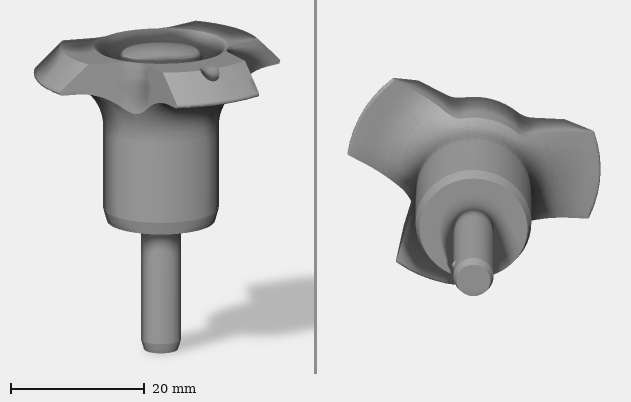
import cadquery as cq
import math

top_z = 47.0
body_bottom_z = 19.98
body_top_z = 34.6
grip_bottom_z = 42.45

pin_radius = 3.0
pin_tip_radius = 2.55
pin_taper_height = 1.55
ball_radius = 0.7
ball_protrusion = 0.3
ball_z = 4.3

body_radius = 8.65
body_taper = 0.55
body_taper_height = 1.97
flare_radius = grip_bottom_z - body_top_z

tip_diameter = 38.0
tip_radius = tip_diameter / 2
tip_round = 0.38
bevel = 4.0
bevel_angle = math.radians(45)
hub_radius = 9.95
arm_width = 14.0
arm_spread = 103
arm_angles = (0, arm_spread, -arm_spread)
arm_root_fillet = 3.75

recess_radius = 10.05
recess_cone_end_radius = 8.05
recess_cone_depth = 1.2
recess_floor_depth = 1.75
button_radius = 6.2
button_dome_radius = 5.45
button_dome_depth = 0.85
button_top_gap = 0.1
button_rim_depth = 1.85

hole_diameter = 3.0
hole_x = 15.0


def revolve_about_z(profile):
    """Revolve a closed profile, drawn with radius and height on the XZ plane, about Z."""
    return profile.close().revolve(360, (0, 0, 0), (0, 1, 0))


def make_pin():
    pin = revolve_about_z(
        cq.Workplane("XZ")
        .lineTo(pin_tip_radius, 0)
        .lineTo(pin_radius, pin_taper_height)
        .lineTo(pin_radius, body_bottom_z)
        .lineTo(0, body_bottom_z)
    )
    ball_y = pin_radius + ball_protrusion - ball_radius
    ball = cq.Workplane("XY").sphere(ball_radius).translate((0, ball_y, ball_z))
    return pin.union(ball)


def make_knob_blank():
    """Fully round knob: tapered barrel, flared underside, rounded rim and 45 degree bevel."""
    bevel_tangent = tip_round * math.tan(bevel_angle / 2)
    bevel_step = bevel_tangent * math.sin(bevel_angle)
    bevel_corner_z = top_z - bevel
    return revolve_about_z(
        cq.Workplane("XZ")
        .moveTo(0, body_bottom_z)
        .lineTo(body_radius - body_taper, body_bottom_z)
        .lineTo(body_radius, body_bottom_z + body_taper_height)
        .lineTo(body_radius, body_top_z)
        .radiusArc((body_radius + flare_radius, grip_bottom_z), flare_radius)
        .lineTo(tip_radius - tip_round, grip_bottom_z)
        .tangentArcPoint((tip_radius, grip_bottom_z + tip_round), relative=False)
        .lineTo(tip_radius, bevel_corner_z - bevel_tangent)
        .tangentArcPoint((tip_radius - bevel_step, bevel_corner_z + bevel_step), relative=False)
        .lineTo(tip_radius - bevel, top_z)
        .lineTo(0, top_z)
    )


def fillet_upright_edge(prism, distance, angle):
    """Round the upright edge of a prism found at a polar position about Z."""
    turn = math.radians(angle)
    point = (distance * math.cos(turn), distance * math.sin(turn), (body_bottom_z + top_z) / 2)
    return prism.edges(cq.selectors.NearestToPointSelector(point)).fillet(arm_root_fillet)


def make_arm_prism():
    """Plan shape of the grip: three arms blended into each other and into the hub.

    The arms run past the rim of the knob blank, which sets their rounded ends.
    """
    height = top_z - body_bottom_z
    base = cq.Workplane("XY").workplane(offset=body_bottom_z)
    half_width = arm_width / 2
    prism = base.circle(half_width).extrude(height)
    for angle in arm_angles:
        arm = base.center(tip_radius, 0).rect(2 * tip_radius, arm_width).extrude(height)
        prism = prism.union(arm.rotate((0, 0, 0), (0, 0, 1), angle))

    half_gap = arm_spread / 2
    corner_distance = half_width / math.sin(math.radians(half_gap))
    for angle in (half_gap, -half_gap):
        prism = fillet_upright_edge(prism, corner_distance, angle)

    prism = prism.union(base.circle(hub_radius).extrude(height))
    hub_corner_angle = arm_spread + math.degrees(math.asin(half_width / hub_radius))
    for angle in (hub_corner_angle, -hub_corner_angle):
        prism = fillet_upright_edge(prism, hub_radius, angle)
    return prism


def make_recess():
    """Dish cut in the top: a cone that curves out to a level floor around the button."""
    return revolve_about_z(
        cq.Workplane("XZ")
        .moveTo(0, top_z)
        .lineTo(recess_radius, top_z)
        .lineTo(recess_cone_end_radius, top_z - recess_cone_depth)
        .tangentArcPoint((button_radius, top_z - recess_floor_depth), relative=False)
        .lineTo(0, top_z - recess_floor_depth)
    )


def make_button():
    """Push button with a shallow domed top and a rounded rim."""
    dome_edge_z = top_z - button_dome_depth
    dome_apex_z = top_z - button_top_gap
    dome_rise = dome_apex_z - dome_edge_z
    dome_sphere_radius = (button_dome_radius**2 + dome_rise**2) / (2 * dome_rise)
    return revolve_about_z(
        cq.Workplane("XZ")
        .moveTo(0, dome_apex_z)
        .radiusArc((button_dome_radius, dome_edge_z), dome_sphere_radius)
        .tangentArcPoint((button_radius, top_z - button_rim_depth), relative=False)
        .lineTo(button_radius, grip_bottom_z)
        .lineTo(0, grip_bottom_z)
    )


def make_lanyard_hole():
    height = top_z - body_top_z
    base = cq.Workplane("XY").workplane(offset=body_top_z)
    return base.center(hole_x, 0).circle(hole_diameter / 2).extrude(height)


knob = make_knob_blank().intersect(make_arm_prism())
knob = knob.cut(make_recess()).union(make_button())
knob = knob.cut(make_lanyard_hole())

result = knob.union(make_pin())